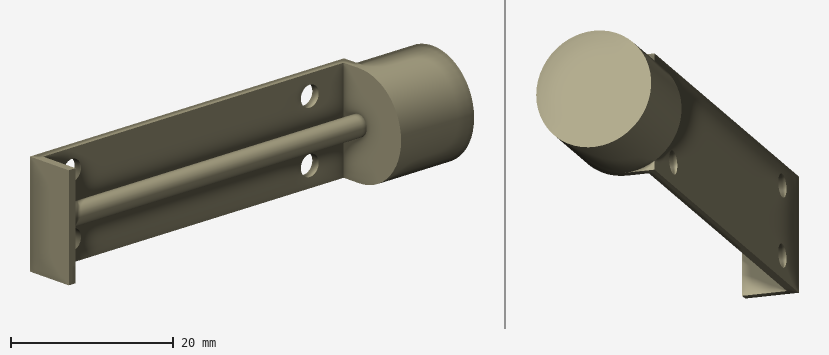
import cadquery as cq

total_length = 64.0
motor_diameter = 15.0

bracket_length = 52.85
bracket_height = motor_diameter
sheet = 1.15
plate_x = -4.0
end_flange_width = 7.0

screw_diameter = 3.0
screw_x = -0.2
motor_flange_width = screw_x - plate_x
hole_diameter = 3.0
hole_pitch_y = 40.0
hole_pitch_z = 9.0
first_hole_y = 6.0


def block(width, y_start, length):
    """Full-height block from the outer face of the plate; a negative width goes toward -X."""
    return (
        cq.Workplane("XY", origin=(plate_x, y_start, -bracket_height / 2))
        .rect(width, length, centered=False)
        .extrude(bracket_height)
    )


def rod(diameter, x, y_start, y_end):
    """Cylinder parallel to Y, centred at the given X."""
    return cq.Workplane("XZ", origin=(x, y_start, 0)).circle(diameter / 2).extrude(y_start - y_end)


def make_bracket():
    plate = block(sheet, 0, bracket_length)
    end_flange = block(end_flange_width, 0, sheet)
    motor_flange = block(motor_flange_width, bracket_length - sheet, sheet)
    holes = (
        cq.Workplane("YZ", origin=(plate_x, first_hole_y + hole_pitch_y / 2, 0))
        .rarray(hole_pitch_y, hole_pitch_z, 2, 2)
        .circle(hole_diameter / 2)
        .extrude(sheet)
    )
    return plate.union(end_flange).union(motor_flange).cut(holes)


def make_motor():
    """Cylinder whose end face is stepped back beside the outer face of the plate."""
    inner_face_y = bracket_length - sheet
    body = rod(motor_diameter, 0, inner_face_y, total_length)
    side_step = block(-motor_diameter, inner_face_y, sheet)
    return body.cut(side_step)


screw = rod(screw_diameter, screw_x, 0, total_length)
result = make_bracket().union(make_motor()).union(screw)